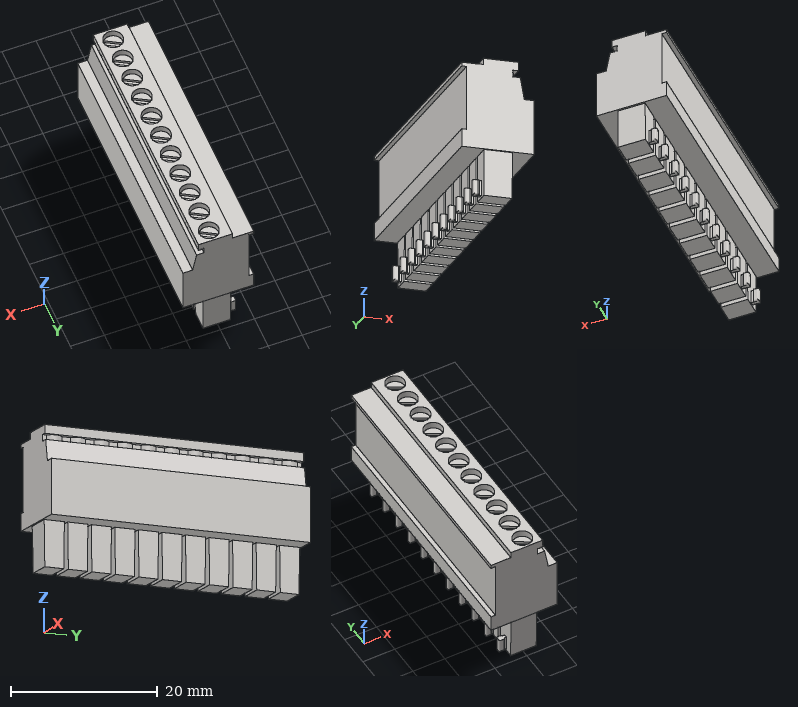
import cadquery as cq


LENGTH = 38.53
WIDTH = 10.4
HEIGHT = 19.8
POLE_COUNT = 11
PITCH = LENGTH / POLE_COUNT

HOUSING_BOTTOM = 6.63
RECESS_DEPTH = 0.7
FOOT_HEIGHT = 2.55
SHELF_DROP = 0.92
SHELF_THICKNESS = 0.58
CAP_LEFT = 3.12
CAP_RIGHT = 8.13
GROOVE_FLOOR = 7.32
GROOVE_TOP_DROP = 1.27
GROOVE_BOTTOM_DROP = 2.2
SLOPE_TOP_X = 8.4
SLOPE_BOTTOM_X = 8.98
LEDGE_HEIGHT = 7.85

BOSS_X = 6.47
BOSS_DIAMETER = 2.8

SCREW_X = 5.9
WELL_DIAMETER = 2.8
WELL_DEPTH = 1.05
SLOT_WIDTH = 0.7
SLOT_DEPTH = 0.4
SLOT_ANGLE = -30.0

FINGER_LEFT = 3.28
FINGER_RIGHT = 7.32
FINGER_ROOT_WIDTH = 3.0
FINGER_TIP_WIDTH = 2.8

KEY_LEFT = 2.08
KEY_BOTTOM = 0.35
KEY_HEIGHT = 2.2
KEY_WIDTH = 0.85
KEY_HEAD_LENGTH = 0.92
KEY_NECK_WIDTH = 0.5
KEY_EDGE = 0.25

pole_positions = [(i - (POLE_COUNT - 1) / 2) * PITCH for i in range(POLE_COUNT)]


def make_housing():
    shelf_top = HEIGHT - SHELF_DROP
    groove_top = HEIGHT - GROOVE_TOP_DROP
    groove_bottom = HEIGHT - GROOVE_BOTTOM_DROP
    ledge = HOUSING_BOTTOM + LEDGE_HEIGHT
    outline = [
        (0, HOUSING_BOTTOM),
        (WIDTH, HOUSING_BOTTOM),
        (WIDTH, ledge),
        (SLOPE_BOTTOM_X, ledge),
        (SLOPE_TOP_X, groove_bottom),
        (GROOVE_FLOOR, groove_bottom),
        (GROOVE_FLOOR, groove_top),
        (CAP_RIGHT, groove_top),
        (CAP_RIGHT, HEIGHT),
        (CAP_LEFT, HEIGHT),
        (CAP_LEFT, shelf_top),
        (0, shelf_top),
        (0, shelf_top - SHELF_THICKNESS),
        (RECESS_DEPTH, shelf_top - SHELF_THICKNESS),
        (RECESS_DEPTH, HOUSING_BOTTOM + FOOT_HEIGHT),
        (0, HOUSING_BOTTOM + FOOT_HEIGHT),
    ]
    return cq.Workplane("XZ").polyline(outline).close().extrude(LENGTH / 2, both=True)


def make_groove_boss():
    boss_height = GROOVE_BOTTOM_DROP - GROOVE_TOP_DROP
    return (
        cq.Workplane("XY", origin=(BOSS_X, 0, HEIGHT - GROOVE_BOTTOM_DROP))
        .circle(BOSS_DIAMETER / 2)
        .extrude(boss_height)
    )


def make_screw_well():
    well_floor = HEIGHT - WELL_DEPTH
    well = (
        cq.Workplane("XY", origin=(SCREW_X, 0, well_floor))
        .circle(WELL_DIAMETER / 2)
        .extrude(WELL_DEPTH)
    )
    slot_bar = (
        cq.Workplane("XY", origin=(SCREW_X, 0, well_floor - SLOT_DEPTH))
        .transformed(rotate=(0, 0, SLOT_ANGLE))
        .rect(WELL_DIAMETER, SLOT_WIDTH)
        .extrude(SLOT_DEPTH)
    )
    head = (
        cq.Workplane("XY", origin=(SCREW_X, 0, well_floor - SLOT_DEPTH))
        .circle(WELL_DIAMETER / 2)
        .extrude(SLOT_DEPTH)
    )
    return well.union(slot_bar.intersect(head))


def make_finger():
    root = FINGER_ROOT_WIDTH / 2
    tip = FINGER_TIP_WIDTH / 2
    outline = [(-tip, 0), (tip, 0), (root, HOUSING_BOTTOM), (-root, HOUSING_BOTTOM)]
    return (
        cq.Workplane("YZ", origin=(FINGER_LEFT, 0, 0))
        .polyline(outline)
        .close()
        .extrude(FINGER_RIGHT - FINGER_LEFT)
    )


def make_key():
    head_center = KEY_LEFT + KEY_HEAD_LENGTH / 2
    taper = (KEY_WIDTH - KEY_NECK_WIDTH) / 2
    head = (
        cq.Workplane("XY", origin=(head_center, 0, KEY_BOTTOM))
        .rect(KEY_HEAD_LENGTH, KEY_WIDTH)
        .extrude(KEY_HEIGHT)
        .edges("|Z and <X").fillet(KEY_EDGE)
        .faces(">X").edges("|Z").chamfer(KEY_EDGE, taper)
    )
    trim = (
        cq.Workplane("XY", origin=(head_center, 0, KEY_BOTTOM))
        .rect(KEY_HEAD_LENGTH, KEY_WIDTH)
        .extrude(KEY_HEIGHT)
        .edges("|X and <Z").fillet(KEY_EDGE)
    )
    neck = (
        cq.Workplane("XY")
        .box(FINGER_LEFT - head_center, KEY_NECK_WIDTH, KEY_HEIGHT, centered=(False, True, False))
        .translate((head_center, 0, KEY_BOTTOM))
    )
    return head.intersect(trim).union(neck)


groove_boss = make_groove_boss()
screw_well = make_screw_well()
plug = make_finger().union(make_key())

result = make_housing()
for y in pole_positions:
    result = result.union(groove_boss.translate((0, y, 0)))
    result = result.union(plug.translate((0, y, 0)))
    result = result.cut(screw_well.translate((0, y, 0)))